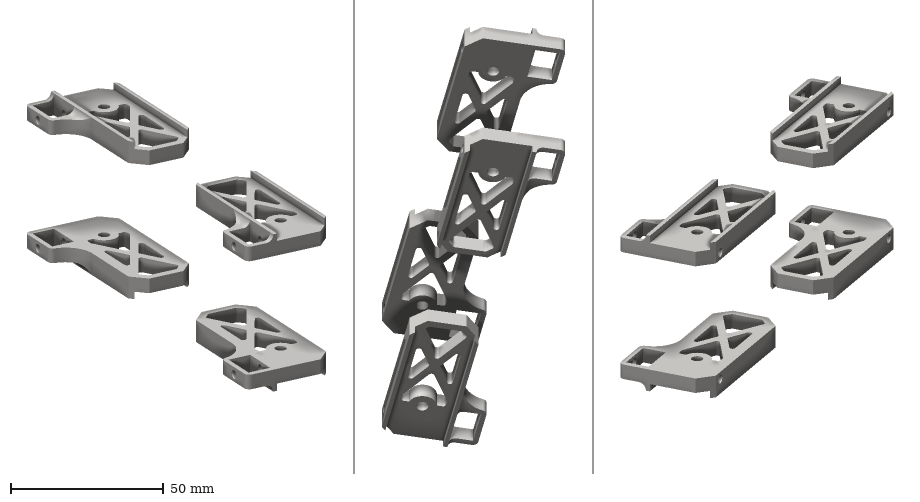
import cadquery as cq
import math

total_length = 144.3
total_depth = 33.0
total_height = 55.8

bracket_length = 55.3
plate_depth = 23.1
plate_thickness = 5.2
corner_chamfer = 5.0

rail_height = 2.6
rail_width = 1.5
bracket_height = plate_thickness + rail_height

arm_side_wall = 2.0
arm_front_wall = 1.7
arm_window_length = 13.0
arm_corner_radius = 1.9
blend_radius = 10.1
blend_center_offset = 0.7
blend_end = 26.1
screw_diameter = 3.0

border = 2.6
bar_width = 2.7
bar_angle = 30.5
opening_fillet = 1.0
opening_start = 16.2
pin_hole_diameter = 4.0
pin_hole_offset = 14.9
boss_diameter = 9.7

left = -total_length / 2
right = left + bracket_length
back = total_depth / 2
front = -total_depth / 2
plate_front = back - plate_depth
plate_middle = back - plate_depth / 2
top = total_height / 2
bottom = top - bracket_height
plate_top = bottom + plate_thickness
arm_window_left = left + arm_side_wall
arm_window_middle = arm_window_left + arm_window_length / 2
opening_left = left + opening_start
opening_right = right - border
opening_half_depth = plate_depth / 2 - rail_width - border
lattice_middle = (opening_left + opening_right) / 2


def make_outline():
    """Plan shape of plate and arm, over the full bracket height."""
    blend_x = left + blend_end + blend_center_offset
    blend_y = plate_front - math.sqrt(blend_radius**2 - blend_center_offset**2)
    blend_start = math.acos(blend_center_offset / blend_radius)
    corner_y = front + arm_corner_radius
    center_distance = blend_radius + arm_corner_radius
    rise = math.asin((corner_y - blend_y) / center_distance)
    corner_x = blend_x - center_distance * math.cos(rise)

    def blend_point(angle):
        return (blend_x - blend_radius * math.cos(angle), blend_y + blend_radius * math.sin(angle))

    def corner_point(x, angle):
        return (x + arm_corner_radius * math.cos(angle), corner_y + arm_corner_radius * math.sin(angle))

    left_corner_x = left + arm_corner_radius
    return (
        cq.Workplane("XY", origin=(0, 0, bottom))
        .moveTo(left, back - corner_chamfer)
        .lineTo(left + corner_chamfer, back)
        .lineTo(right - corner_chamfer, back)
        .lineTo(right, back - corner_chamfer)
        .lineTo(right, plate_front + corner_chamfer)
        .lineTo(right - corner_chamfer, plate_front)
        .lineTo(left + blend_end, plate_front)
        .threePointArc(blend_point((rise + blend_start) / 2), blend_point(rise))
        .threePointArc(corner_point(corner_x, (-rise - math.pi / 2) / 2), (corner_x, front))
        .lineTo(left_corner_x, front)
        .threePointArc(corner_point(left_corner_x, -3 * math.pi / 4), (left, corner_y))
        .close()
        .extrude(bracket_height)
    )


def make_rail_channel():
    """Cutter that clears the plate top between the two rails."""
    channel_front = plate_front + rail_width
    channel_depth = plate_depth - 2 * rail_width
    return (
        cq.Workplane("XY", origin=(left, channel_front, plate_top))
        .rect(bracket_length, channel_depth, centered=False)
        .extrude(rail_height)
    )


def make_arm_relief():
    """Cutter that lowers the arm to plate height, with a concave fillet up to the front rail."""
    fillet_front = plate_front - rail_height
    fillet_reach = rail_height * math.sqrt(0.5)
    return (
        cq.Workplane("YZ", origin=(left, 0, 0))
        .moveTo(plate_front, top)
        .threePointArc((fillet_front + fillet_reach, top - fillet_reach), (fillet_front, plate_top))
        .lineTo(front, plate_top)
        .lineTo(front, top)
        .close()
        .extrude(blend_end)
    )


def make_lattice_openings():
    """Four openings left between the crossed bars, the pin boss and the plate border."""
    inner_chamfer = corner_chamfer - rail_width - border * (2 - math.sqrt(2))
    opening_back = plate_middle + opening_half_depth
    opening_front = plate_middle - opening_half_depth
    openings = (
        cq.Workplane("XY", origin=(0, 0, bottom))
        .moveTo(opening_left, opening_back)
        .lineTo(opening_right - inner_chamfer, opening_back)
        .lineTo(opening_right, opening_back - inner_chamfer)
        .lineTo(opening_right, opening_front + inner_chamfer)
        .lineTo(opening_right - inner_chamfer, opening_front)
        .lineTo(opening_left, opening_front)
        .close()
        .extrude(plate_thickness)
    )
    for angle in (bar_angle, -bar_angle):
        bar = (
            cq.Workplane("XY", origin=(lattice_middle, plate_middle, bottom))
            .transformed(rotate=(0, 0, angle))
            .rect(bracket_length, bar_width)
            .extrude(plate_thickness)
        )
        openings = openings.cut(bar)
    openings = openings.edges("|Z").fillet(opening_fillet)
    return openings.cut(make_pin_cylinder(boss_diameter))


def make_pin_cylinder(diameter):
    """Upright cylinder on the pin axis, as tall as the plate."""
    return (
        cq.Workplane("XY", origin=(left + pin_hole_offset, plate_middle, bottom))
        .circle(diameter / 2)
        .extrude(plate_thickness)
    )


def make_arm_window():
    """Rectangular window through the arm."""
    window_front = front + arm_front_wall
    return (
        cq.Workplane("XY", origin=(0, 0, bottom))
        .moveTo(arm_window_left, window_front)
        .rect(arm_window_length, plate_front - window_front, centered=False)
        .extrude(bracket_height)
    )


def make_screw_hole():
    """Hole from front to back through the arm and the plate."""
    return (
        cq.Workplane("XZ", origin=(arm_window_middle, back, bottom + plate_thickness / 2))
        .circle(screw_diameter / 2)
        .extrude(total_depth)
    )


def make_bracket():
    """Upper left bracket."""
    return (
        make_outline()
        .cut(make_rail_channel())
        .cut(make_arm_relief())
        .cut(make_lattice_openings())
        .cut(make_pin_cylinder(pin_hole_diameter))
        .cut(make_arm_window())
        .cut(make_screw_hole())
    )


upper_left = make_bracket()
upper_pair = [upper_left, upper_left.mirror("YZ")]
brackets = []
for bracket in upper_pair:
    brackets.append(bracket.val())
    brackets.append(bracket.mirror("XY").val())

result = cq.Compound.makeCompound(brackets)